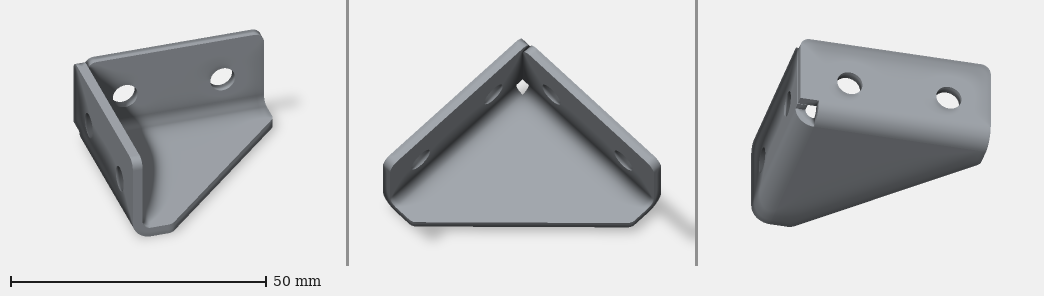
import cadquery as cq

length = 38.5
height = 18.0
thickness = 2.0
inner_bend_radius = 1.75
corner_radius = 2.0
flange_gap = 0.1
hole_diameter = 5.1
hole_spacing = 20.02
first_hole = 10.0
hole_height = 8.95
base_tip = 8.1

bend_radius = thickness + inner_bend_radius


def base_plate():
    """Horizontal plate with a sloping outer edge, inside both bends."""
    plate = (
        cq.Workplane("XY")
        .moveTo(bend_radius, bend_radius)
        .lineTo(length, bend_radius)
        .lineTo(length, base_tip)
        .lineTo(base_tip, length)
        .lineTo(bend_radius, length)
        .close()
        .extrude(thickness)
    )
    slope_ends = cq.selectors.BoxSelector(
        (base_tip - 0.4, base_tip - 0.4, 0), (length + 0.4, length + 0.4, thickness)
    )
    return plate.edges("|Z").edges(slope_ends).fillet(corner_radius)


def bend():
    """Quarter-round fold along X, joining the base to the front flange."""
    fold = (
        cq.Workplane("XY")
        .circle(bend_radius)
        .circle(inner_bend_radius)
        .extrude(length - bend_radius)
    )
    quadrant = cq.Workplane("XY").rect(-bend_radius, -bend_radius, centered=False)
    fold = fold.intersect(quadrant.extrude(length))
    fold = fold.rotate((0, 0, 0), (0, 0, 1), 90).rotate((0, 0, 0), (0, 1, 0), 90)
    return fold.translate((bend_radius, bend_radius, bend_radius))


def flange(start):
    """Upright front flange running along X from start, with rounded upper corners."""
    plate = (
        cq.Workplane("XY")
        .box(length - start, thickness, height - bend_radius, centered=False)
        .translate((start, 0, bend_radius))
        .edges("|Y and >Z")
        .fillet(corner_radius)
    )
    holes = (
        cq.Workplane("XZ")
        .pushPoints([(first_hole + i * hole_spacing, hole_height) for i in range(2)])
        .circle(hole_diameter / 2)
        .extrude(-thickness)
    )
    return plate.cut(holes)


def swap_x_and_y(body):
    """Move a body from the front side to the left side of the bracket."""
    return body.mirror("XZ").rotate((0, 0, 0), (0, 0, 1), 90)


front_side = bend().union(flange(0))
left_side = swap_x_and_y(bend().union(flange(thickness + flange_gap)))
result = base_plate().union(front_side).union(left_side)